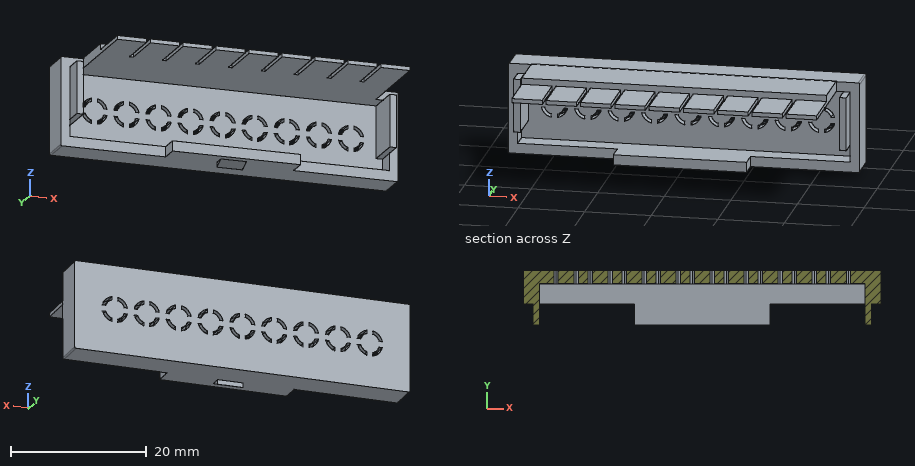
import cadquery as cq

frame_width = 52.8
frame_depth = 5.0
frame_height = 13.85
side_wall = 1.4
top_wall = 1.5
bottom_wall = 1.6
panel_thickness = 2.0
corner_radius = 0.2

opening_width = frame_width - 2 * side_wall
opening_top = frame_height - top_wall

vent_count = 9
vent_pitch = 5.0
vent_outer_radius = 2.0
vent_inner_radius = 1.55
vent_bar_width = 0.95
vent_center_z = frame_height / 2

shelf_width = 45.8
shelf_length = 7.5
shelf_rise = 0.1
shelf_top = frame_height + shelf_rise
finger_reach = 15.0
finger_count = 9
finger_gap = 0.6
finger_thickness = 0.65
finger_width = (shelf_width - (finger_count - 1) * finger_gap) / finger_count
finger_pitch = finger_width + finger_gap

tab_length = 3.05
side_tab_thickness = 1.0
side_tab_height = 8.15
bottom_tab_width = 20.0
latch_width = 4.0
latch_length = 1.8
latch_drop = 0.75


def block(x_center, width, y_front, y_back, z_bottom, z_top):
    """Box centred on x_center, between the given Y and Z limits."""
    box = cq.Workplane("XY").box(width, y_back - y_front, z_top - z_bottom, centered=(True, False, False))
    return box.translate((x_center, y_front, z_bottom))


def row_positions(count, pitch):
    """X positions of a row centred on X = 0."""
    return [(i - (count - 1) / 2) * pitch for i in range(count)]


def make_frame():
    outer = block(0, frame_width, 0, frame_depth, 0, frame_height).edges("|Y").fillet(corner_radius)
    cavity_depth = frame_depth - panel_thickness
    return outer.cut(block(0, opening_width, 0, cavity_depth, bottom_wall, opening_top))


def make_vent(x):
    """Four arc-shaped cutters that leave a cross and a central disc standing."""
    ring = (
        cq.Workplane("XZ", origin=(x, frame_depth, vent_center_z))
        .circle(vent_outer_radius)
        .circle(vent_inner_radius)
        .extrude(panel_thickness)
    )
    span = 2 * vent_outer_radius
    half_bar = vent_bar_width / 2
    upright = block(x, vent_bar_width, 0, frame_depth, vent_center_z - span, vent_center_z + span)
    crossbar = block(x, span, 0, frame_depth, vent_center_z - half_bar, vent_center_z + half_bar)
    return ring.cut(upright).cut(crossbar)


def make_shelf():
    shelf = block(0, shelf_width, -shelf_length, 0, opening_top, shelf_top)
    finger_top = opening_top + finger_thickness
    for x in row_positions(finger_count, finger_pitch):
        shelf = shelf.union(block(x, finger_width, -finger_reach, -shelf_length, opening_top, finger_top))
    return shelf


def make_side_tab(side):
    """Upright tab along one side wall, running from the back panel out past the front."""
    x = side * (opening_width - side_tab_thickness) / 2
    tab_back = frame_depth - panel_thickness
    return block(x, side_tab_thickness, -tab_length, tab_back, opening_top - side_tab_height, opening_top)


def make_bottom_tab():
    """Flat tab in line with the bottom wall, with a wedge-shaped latch beneath it."""
    tab = block(0, bottom_tab_width, -tab_length, 0, 0, bottom_wall)
    latch = (
        cq.Workplane("YZ", origin=(-latch_width / 2, 0, 0))
        .polyline([(0, 0), (-latch_length, 0), (0, -latch_drop)])
        .close()
        .extrude(latch_width)
    )
    return tab.union(latch)


result = make_frame()
for vent_x in row_positions(vent_count, vent_pitch):
    result = result.cut(make_vent(vent_x))
result = result.union(make_shelf()).union(make_bottom_tab())
for tab_side in (-1, 1):
    result = result.union(make_side_tab(tab_side))